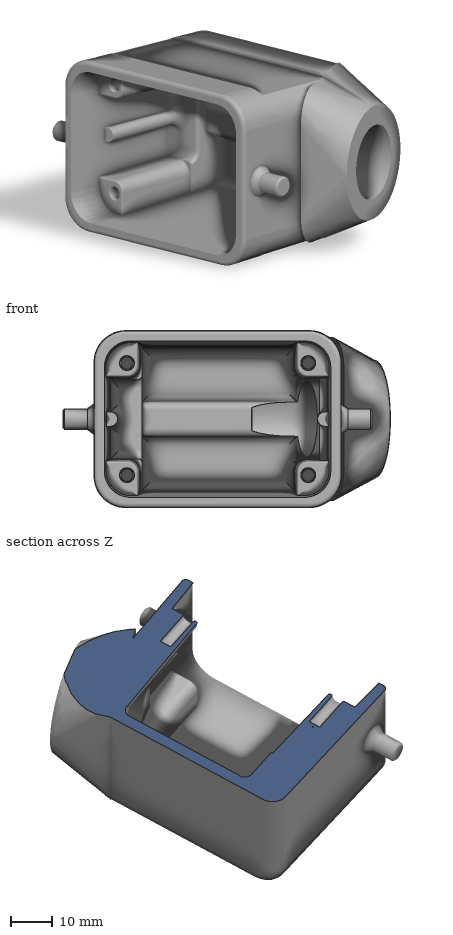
import cadquery as cq
import math

body_length = 60.0
body_height = 43.0
body_depth = 46.0
body_corner_radius = 7.8
body_draft = 1.15
back_edge_radius = 4.0
rim_edge_radius = 1.0

mouth_length = 55.0
mouth_height = 38.0
mouth_corner_radius = 6.5
cavity_depth = 43.0
cavity_draft = 2.5
floor_fillet = 2.0

post_face_y = 9.5
post_inner_x = 19.4
post_inner_z = 10.35
post_corner_radius = 2.5
post_draft = 1.6
post_edge_radius = 0.4
screw_hole_x = 22.0
screw_hole_z = 13.6
screw_hole_diameter = 3.0
screw_hole_depth = 10.0
screw_hole_chamfer = 0.3

step_face_y = 35.0
step_inner_x = -18.3
step_outer_x = -26.0
step_half_width = 9.65
step_fillet = 2.2
step_edge_radius = 0.9

bore_wall_x = 24.7
bore_wall_y = 22.3
bore_wall_bevel_x = 3.0
bore_wall_bevel_y = 2.6

key_pin_x = 26.0
key_pin_radius = 1.75
key_pin_tip_y = 11.4
key_pin_foot_radius = 2.4

ridge_top_y = 38.1
ridge_half_width = 3.9
ridge_draft = 6.0
ridge_edge_radius = 1.8

recess_start_y = 10.5
recess_end_y = 33.5
recess_start_z = 20.1
recess_end_z = 19.75

peg_span = 75.0
peg_y = 6.2
peg_radius = 2.5
peg_chamfer = 0.4
peg_root_radius = 4.0
peg_root_x = 29.6
peg_cone_end_x = 31.6

nozzle_top_x, nozzle_top_y = 20.0, 46.0
nozzle_bottom_x, nozzle_bottom_y = 30.7, 19.6
cheek_half_height = 20.9
nozzle_half_height = 19.8
nozzle_top_corner = 4.0
nozzle_bottom_corner = 8.0
outlet_x, outlet_y = 38.05, 37.5
outlet_radius = 14.22
outlet_tilt = 15.95
outlet_flat_angle = 0.8
bore_radius = 9.25
bore_length = 28.4


def depth_plane(y):
    """Plane normal to Y, sketch x along X, extruding toward +Y."""
    return cq.Plane(origin=(0, y, 0), xDir=(1, 0, 0), normal=(0, 1, 0))


def tapered_block(length, height, corner_radius, depth, draft):
    outline = cq.Sketch().rect(length, height).vertices().fillet(corner_radius)
    return cq.Workplane(depth_plane(0)).placeSketch(outline).extrude(depth, taper=draft)


def make_body():
    body = tapered_block(body_length, body_height, body_corner_radius, body_depth, body_draft)
    body = body.faces(">Y").edges().fillet(back_edge_radius)
    body = body.faces("<Y").edges().fillet(rim_edge_radius)
    margin = body_length / 2
    corner = (
        cq.Workplane("XY", origin=(0, 0, -body_height))
        .polyline([
            (nozzle_top_x, nozzle_top_y),
            (nozzle_bottom_x, nozzle_bottom_y),
            (nozzle_bottom_x + margin, nozzle_bottom_y),
            (nozzle_bottom_x + margin, nozzle_top_y),
        ])
        .close()
        .extrude(2 * body_height)
    )
    return body.cut(corner)


def outlet_point(angle):
    """Point on the outlet circle at an angle in degrees."""
    radians = math.radians(angle)
    return (outlet_radius * math.cos(radians), outlet_radius * math.sin(radians))


def make_nozzle_base(plane, base_width):
    """Rounded rectangle whose long sides step out to a raised cheek above the recess."""
    top_center_x = base_width / 2 - nozzle_top_corner
    top_center_z = cheek_half_height - nozzle_top_corner
    bottom_center_x = nozzle_bottom_corner - base_width / 2
    bottom_center_z = nozzle_half_height - nozzle_bottom_corner
    rise_y = nozzle_top_y - nozzle_bottom_y
    step_x = ((recess_end_y - nozzle_bottom_y) / rise_y - 0.5) * base_width
    diagonal = math.sqrt(0.5)
    top_mid = nozzle_top_corner * diagonal
    bottom_mid = nozzle_bottom_corner * diagonal
    return (
        cq.Workplane(plane)
        .moveTo(base_width / 2, top_center_z)
        .threePointArc(
            (top_center_x + top_mid, top_center_z + top_mid), (top_center_x, cheek_half_height)
        )
        .lineTo(step_x, cheek_half_height)
        .lineTo(step_x, nozzle_half_height)
        .lineTo(bottom_center_x, nozzle_half_height)
        .threePointArc(
            (bottom_center_x - bottom_mid, bottom_center_z + bottom_mid),
            (-base_width / 2, bottom_center_z),
        )
        .lineTo(-base_width / 2, -bottom_center_z)
        .threePointArc(
            (bottom_center_x - bottom_mid, -bottom_center_z - bottom_mid),
            (bottom_center_x, -nozzle_half_height),
        )
        .lineTo(step_x, -nozzle_half_height)
        .lineTo(step_x, -cheek_half_height)
        .lineTo(top_center_x, -cheek_half_height)
        .threePointArc(
            (top_center_x + top_mid, -top_center_z - top_mid), (base_width / 2, -top_center_z)
        )
        .close()
        .val()
    )


def make_nozzle_outlet():
    """Circle split so that each straight base edge narrows to a very short arc."""
    flat = outlet_flat_angle
    side_angles = (90 - 1.5 * flat, 90 - 0.5 * flat, 90 + 0.5 * flat, 90 + 1.5 * flat)
    bottom_angles = (180 - 0.5 * flat, 180 + 0.5 * flat)
    other_side_angles = tuple(360 - angle for angle in reversed(side_angles))
    angles = (0.5 * flat,) + side_angles + bottom_angles + other_side_angles + (360 - 0.5 * flat,)
    outline = cq.Workplane(outlet_plane()).moveTo(*outlet_point(angles[0]))
    for start, end in zip(angles, angles[1:] + (360 + angles[0],)):
        outline = outline.threePointArc(
            outlet_point((start + end) / 2),
            outlet_point(end),
        )
    return outline.wire().val()


def make_nozzle():
    rise_x = nozzle_top_x - nozzle_bottom_x
    rise_y = nozzle_top_y - nozzle_bottom_y
    center = ((nozzle_top_x + nozzle_bottom_x) / 2, (nozzle_top_y + nozzle_bottom_y) / 2, 0)
    base_plane = cq.Plane(origin=center, xDir=(rise_x, rise_y, 0), normal=(rise_y, -rise_x, 0))
    base = make_nozzle_base(base_plane, math.hypot(rise_x, rise_y))
    return cq.Workplane(cq.Solid.makeLoft([base, make_nozzle_outlet()], True))


def outlet_plane():
    tilt = math.radians(outlet_tilt)
    return cq.Plane(
        origin=(outlet_x, outlet_y, 0),
        xDir=(-math.sin(tilt), math.cos(tilt), 0),
        normal=(math.cos(tilt), math.sin(tilt), 0),
    )


def make_post(x_side, z_side):
    """Corner post widening toward the floor; its outer sides end inside the shell wall."""
    length = body_length / 2 - post_inner_x
    height = body_height / 2 - post_inner_z
    outline = cq.Sketch().rect(length, height).vertices().fillet(post_corner_radius)
    plane = depth_plane(post_face_y)
    plane.origin = (
        x_side * (post_inner_x + length / 2),
        post_face_y,
        z_side * (post_inner_z + height / 2),
    )
    depth = body_depth - post_face_y
    post = cq.Workplane(plane).placeSketch(outline).extrude(depth, taper=-post_draft)
    return post.faces("<Y").edges().fillet(post_edge_radius)


def make_floor_step():
    """Raised floor with a trough whose lower edges blend into the end wall and the posts."""
    blend_y = step_face_y - step_fillet
    block = (
        cq.Workplane("XY")
        .box(
            body_length / 2 + step_inner_x,
            body_depth - blend_y,
            body_height,
            centered=(False, False, True),
        )
        .translate((-body_length / 2, blend_y, 0))
    )
    trough = (
        cq.Workplane("XY")
        .box(
            -step_outer_x,
            step_face_y,
            2 * step_half_width,
            centered=(False, False, True),
        )
        .translate((step_outer_x, 0, 0))
        .faces(">Y")
        .edges("<X or >Z or <Z")
        .fillet(step_fillet)
    )
    inner_edge = cq.selectors.NearestToPointSelector((step_inner_x, step_face_y, 0))
    return block.cut(trough).edges(inner_edge).fillet(step_edge_radius)


def make_bore_wall():
    lean = (body_depth - bore_wall_y) * math.tan(math.radians(outlet_tilt))
    return (
        cq.Workplane("XY", origin=(0, 0, -screw_hole_z))
        .polyline([
            (bore_wall_x + bore_wall_bevel_x, bore_wall_y - bore_wall_bevel_y),
            (bore_wall_x, bore_wall_y),
            (bore_wall_x - lean, body_depth),
            (body_length / 2, body_depth),
            (body_length / 2, bore_wall_y - bore_wall_bevel_y),
        ])
        .close()
        .extrude(2 * screw_hole_z)
    )


def make_ridge():
    height = body_depth - ridge_top_y
    return (
        cq.Workplane(depth_plane(ridge_top_y))
        .rect(body_length, 2 * ridge_half_width)
        .extrude(height, taper=-ridge_draft)
        .faces("<Y")
        .edges("|X")
        .fillet(ridge_edge_radius)
    )


def make_key_pin(x_side):
    """Round pin with a web that joins it to the end wall."""
    length = body_depth - key_pin_tip_y
    plane = depth_plane(key_pin_tip_y)
    pin = cq.Workplane(plane).center(x_side * key_pin_x, 0).circle(key_pin_radius).extrude(length)
    web_length = body_length / 2 - key_pin_x
    web = (
        cq.Workplane(plane)
        .center(x_side * (key_pin_x + web_length / 2), 0)
        .rect(web_length, 2 * key_pin_radius)
        .extrude(length)
    )
    return pin.union(web)


def make_key_pin_foot():
    """Concave flare around the left key pin where it meets the step."""
    root_radius = key_pin_radius + key_pin_foot_radius
    arc_offset = key_pin_foot_radius * (1 - math.sqrt(0.5))
    return (
        cq.Workplane("XY", origin=(-key_pin_x, 0, 0))
        .moveTo(0, body_depth)
        .lineTo(0, step_face_y - key_pin_foot_radius)
        .lineTo(key_pin_radius, step_face_y - key_pin_foot_radius)
        .threePointArc(
            (key_pin_radius + arc_offset, step_face_y - arc_offset),
            (root_radius, step_face_y),
        )
        .lineTo(root_radius, body_depth)
        .close()
        .revolve(360, (0, 0, 0), (0, 1, 0))
    )


def make_cavity():
    cavity = tapered_block(
        mouth_length, mouth_height, mouth_corner_radius, cavity_depth, cavity_draft
    )
    for x_side in (-1, 1):
        for z_side in (-1, 1):
            cavity = cavity.cut(make_post(x_side, z_side))
    cavity = cavity.cut(make_floor_step())
    cavity = cavity.cut(make_bore_wall())
    cavity = cavity.cut(make_ridge())
    cavity = cavity.faces(">Y").edges().fillet(floor_fillet)
    for x_side in (-1, 1):
        cavity = cavity.cut(make_key_pin(x_side))
    return cavity.cut(make_key_pin_foot())


def make_recess(z_side):
    return (
        cq.Workplane("YZ", origin=(-body_length, 0, 0))
        .polyline([
            (recess_start_y, z_side * recess_start_z),
            (recess_end_y, z_side * recess_end_z),
            (recess_end_y, z_side * body_height),
            (recess_start_y, z_side * body_height),
        ])
        .close()
        .extrude(2 * body_length)
    )


def make_peg(x_side):
    """Latch peg with a conical root, turned about a line along X."""
    tip_x = peg_span / 2
    inside_x = mouth_length / 2 + 1.0
    return (
        cq.Workplane("XY")
        .polyline([
            (x_side * inside_x, peg_y),
            (x_side * inside_x, peg_y + peg_root_radius),
            (x_side * peg_root_x, peg_y + peg_root_radius),
            (x_side * peg_cone_end_x, peg_y + peg_radius),
            (x_side * (tip_x - peg_chamfer), peg_y + peg_radius),
            (x_side * tip_x, peg_y + peg_radius - peg_chamfer),
            (x_side * tip_x, peg_y),
        ])
        .close()
        .revolve(360, (0, peg_y, 0), (1, peg_y, 0))
    )


def make_screw_holes():
    centers = [
        (x_side * screw_hole_x, z_side * screw_hole_z)
        for x_side in (-1, 1)
        for z_side in (-1, 1)
    ]
    plane = depth_plane(post_face_y)
    radius = screw_hole_diameter / 2
    holes = cq.Workplane(plane).pushPoints(centers).circle(radius).extrude(screw_hole_depth)
    for x, z in centers:
        mouth = cq.Solid.makeCone(
            radius + screw_hole_chamfer,
            radius,
            screw_hole_chamfer,
            cq.Vector(x, post_face_y, z),
            cq.Vector(0, 1, 0),
        )
        holes = holes.union(cq.Workplane(mouth))
    return holes


def make_bore():
    return cq.Workplane(outlet_plane()).circle(bore_radius).extrude(-bore_length)


result = make_body()
for side in (-1, 1):
    result = result.cut(make_recess(side))
result = result.union(make_nozzle())
for side in (-1, 1):
    result = result.union(make_peg(side))
result = result.cut(make_cavity())
result = result.cut(make_screw_holes())
result = result.cut(make_bore())